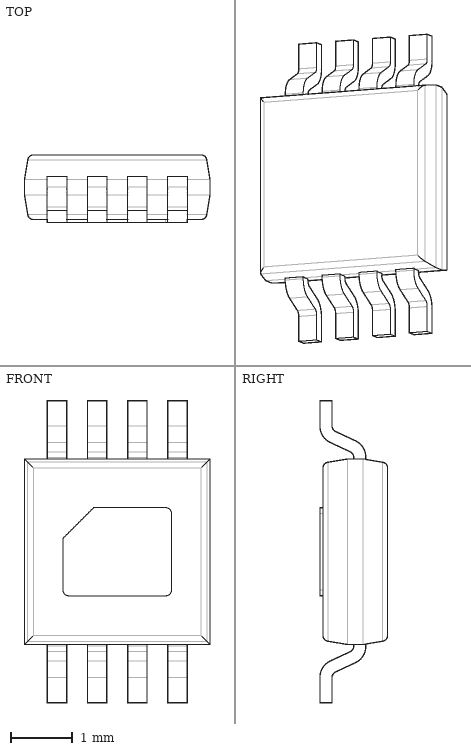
import cadquery as cq
import math


housing_side = 3.0
housing_depth = 1.05
band_depth = 0.245
draft_angle = 9.5
face_fillet = 0.1

pad_width = 1.755
pad_height = 1.425
pad_thickness = 0.05
pad_chamfer = 0.5
pad_corner_radius = 0.1

total_height = 4.88
leads_per_side = 4
lead_pitch = 0.65
lead_width = 0.315
lead_thickness = 0.2
root_y = 0.075
root_length = 0.025
root_overrun = 0.05
bend_inner_radius = 0.1
bend_angle = 65.0

housing_edge = housing_side / 2
housing_front_y = -housing_depth / 2
foot_front_y = housing_front_y - pad_thickness
foot_y = foot_front_y + lead_thickness / 2


def make_housing():
    """Square block with a straight band, two tapered halves and rounded face edges."""
    taper_depth = (housing_depth - band_depth) / 2
    block = cq.Workplane("XY").box(housing_side, band_depth, housing_side)
    front_half = block.faces("<Y").workplane().rect(housing_side, housing_side).extrude(
        taper_depth, combine=False, taper=draft_angle
    )
    back_half = front_half.mirror("XZ")
    block = block.union(front_half).union(back_half)
    return block.faces("<Y or >Y").edges().fillet(face_fillet)


def make_pad():
    """Thin plate on the front face with one cut corner and three rounded ones."""
    plate = cq.Workplane("XY").box(pad_width, pad_thickness, pad_height)
    plate = plate.edges("|Y").edges("<X").edges(">Z").chamfer(pad_chamfer)
    square_corners = plate.edges("|Y").edges(">X").add(plate.edges("|Y").edges("<Z"))
    plate = square_corners.fillet(pad_corner_radius)
    return plate.translate((0, housing_front_y - pad_thickness / 2, 0))


def make_lead(housing):
    """Upper lead at X = 0: a flat strip swept along stub, bend, slope, bend and foot,
    with its root trimmed to sit on the housing."""
    angle = math.radians(bend_angle)
    bend_radius = bend_inner_radius + lead_thickness / 2
    bend_run = bend_radius * (1 - math.cos(angle))
    bend_rise = bend_radius * math.sin(angle)
    slope_run = root_y - foot_y - 2 * bend_run
    slope_rise = slope_run / math.tan(angle)

    first_bend_start = (root_y, housing_edge + root_length)
    first_bend_end = (root_y - bend_run, first_bend_start[1] + bend_rise)
    second_bend_start = (first_bend_end[0] - slope_run, first_bend_end[1] + slope_rise)
    second_bend_end = (foot_y, second_bend_start[1] + bend_rise)
    root_z = housing_edge - root_overrun
    path = (
        cq.Workplane("YZ")
        .moveTo(root_y, root_z)
        .lineTo(*first_bend_start)
        .tangentArcPoint(first_bend_end, relative=False)
        .lineTo(*second_bend_start)
        .tangentArcPoint(second_bend_end, relative=False)
        .lineTo(foot_y, total_height / 2)
    )
    section = cq.Workplane("XY", origin=(0, root_y, root_z)).rect(lead_width, lead_thickness)
    return section.sweep(path).cut(housing)


def make_leads(housing):
    """One row of leads on the top edge and its mirror image on the bottom edge."""
    upper_lead = make_lead(housing)
    lower_lead = upper_lead.mirror("XY")
    leads = []
    for index in range(leads_per_side):
        lead_x = (index - (leads_per_side - 1) / 2) * lead_pitch
        leads.append(upper_lead.translate((lead_x, 0, 0)))
        leads.append(lower_lead.translate((lead_x, 0, 0)))
    return leads


housing = make_housing()
pad = make_pad()
leads = make_leads(housing)

result = cq.Compound.makeCompound(
    [housing.solids().val(), pad.solids().val(), *[lead.solids().val() for lead in leads]]
)